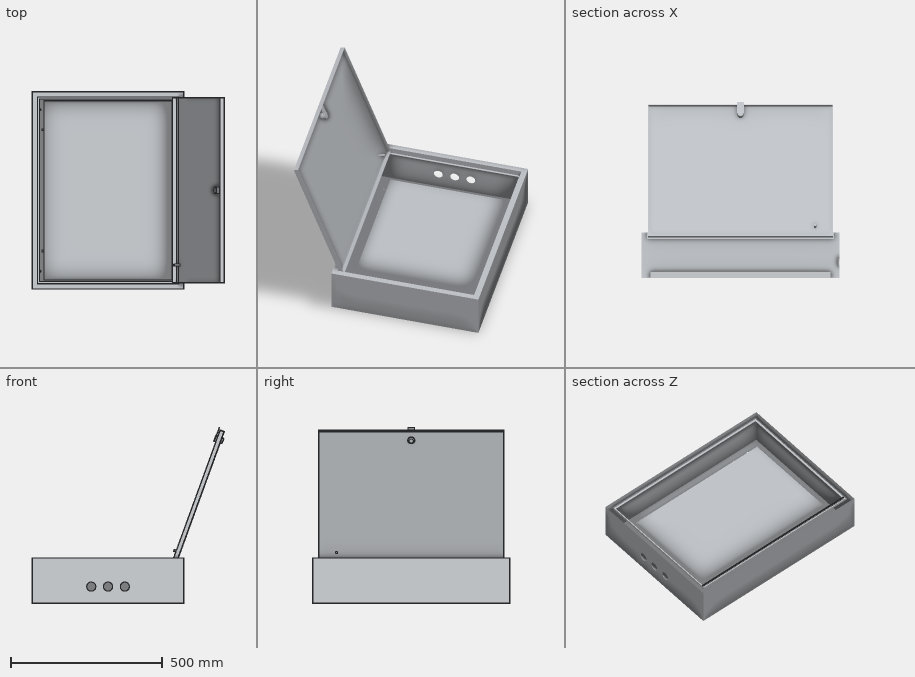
import cadquery as cq
import math

sheet = 1.0

box_x = 500.0
box_y = 650.0
box_z = 150.0
rim_width = 18.0
gutter_depth = 19.5
ledge_width = 6.5

cable_hole_d = 30.0
cable_hole_pitch = 55.0
cable_hole_z = 55.0

mount_hole_d = 6.0
mount_hole_x = box_x / 2 - 25.5
mount_hole_y = box_y / 2 - 59.0

plate_x = 422.5
plate_y = 591.5
plate_z = 19.0

pin_d = 6.0
pin_reach = 6.5
pin_y = box_y / 2 - 125.5
pin_z = sheet + plate_z / 2

door_length = 460.0
door_width = 610.0
door_depth = 15.0
door_sheet = 1.5
door_lean = 20.0
door_foot_x = 225.5
door_foot_z = 133.0

lock_along = door_length - 31.0
barrel_d = 21.5
barrel_top = 22.0
knob_d = 23.5
knob_face_d = 14.0
knob_height = 6.5
cam_bottom = 19.5
cam_thickness = 1.0
cam_overhang = 7.0

stud_d = 7.0
stud_top = 22.0
stud_along = 36.0
stud_y = -246.0

lean = math.radians(door_lean)
door_plane = cq.Plane(
    origin=(door_foot_x, 0, door_foot_z),
    xDir=(math.sin(lean), 0, math.cos(lean)),
    normal=(-math.cos(lean), 0, math.sin(lean)),
)


def block(size_x, size_y, z_low, z_high):
    """A block centred on the Z axis between two heights."""
    return cq.Workplane("XY").workplane(offset=z_low).rect(size_x, size_y).extrude(z_high - z_low)


def inset_block(inset, z_low, z_high):
    """A block whose sides lie a given distance inside the box outline."""
    return block(box_x - 2 * inset, box_y - 2 * inset, z_low, z_high)


def make_box():
    ledge_z = box_z - gutter_depth
    gutter_inset = rim_width - sheet
    opening_inset = rim_width + ledge_width
    shell = inset_block(0, 0, box_z).cut(inset_block(sheet, sheet, box_z))
    rim = inset_block(0, box_z - sheet, box_z)
    gutter = inset_block(gutter_inset, ledge_z - sheet, box_z)
    body = shell.union(rim).union(gutter)
    body = body.cut(inset_block(rim_width, ledge_z, box_z))
    body = body.cut(inset_block(opening_inset, ledge_z - sheet, ledge_z))

    cable_holes = (
        cq.Workplane("XZ", origin=(0, -box_y / 2, cable_hole_z))
        .rarray(cable_hole_pitch, 6.5, 3, 1)
        .circle(cable_hole_d / 2)
        .extrude(-sheet)
    )
    mount_holes = (
        cq.Workplane("XY")
        .rect(2 * mount_hole_x, 2 * mount_hole_y, forConstruction=True)
        .vertices()
        .circle(mount_hole_d / 2)
        .extrude(sheet)
    )
    return body.cut(cable_holes).cut(mount_holes)


def make_pin(side, y):
    """A pin through the plate side that faces +X (side = 1) or -X (side = -1)."""
    inner_face = side * (plate_x / 2 - sheet)
    return (
        cq.Workplane("YZ", origin=(inner_face, y, pin_z))
        .circle(pin_d / 2)
        .extrude(side * (sheet + pin_reach))
    )


def make_plate(pins):
    top = sheet + plate_z
    body = block(plate_x, plate_y, sheet, top)
    body = body.cut(block(plate_x - 2 * sheet, plate_y - 2 * sheet, sheet, top - sheet))
    for pin in pins:
        body = body.cut(pin)
    return body


def door_block(along_low, along_high, width, low, high):
    """A block in the door frame, centred across the door."""
    return (
        cq.Workplane(door_plane)
        .workplane(offset=low)
        .center((along_low + along_high) / 2, 0)
        .rect(along_high - along_low, width)
        .extrude(high - low)
    )


def door_cylinder(along, y, diameter, low, high):
    """A cylinder square to the door."""
    return (
        cq.Workplane(door_plane)
        .workplane(offset=low)
        .center(along, y)
        .circle(diameter / 2)
        .extrude(high - low)
    )


def make_door():
    inner_width = door_width - 2 * door_sheet
    body = door_block(0, door_length, door_width, 0, door_depth)
    body = body.cut(door_block(door_sheet, door_length - door_sheet, inner_width, door_sheet, door_depth))
    barrel_hole = door_cylinder(lock_along, 0, barrel_d, 0, door_sheet)
    return body.cut(barrel_hole)


def make_lock():
    barrel = door_cylinder(lock_along, 0, barrel_d, 0, barrel_top)
    cam_tip = door_length + cam_overhang
    cam = door_block(lock_along, cam_tip, barrel_d, cam_bottom, cam_bottom + cam_thickness)
    knob = (
        cq.Workplane(door_plane)
        .center(lock_along, 0)
        .circle(knob_d / 2)
        .workplane(offset=-knob_height)
        .circle(knob_face_d / 2)
        .loft(ruled=True)
    )
    return barrel.union(cam).union(knob)


def make_stud():
    return door_cylinder(stud_along, stud_y, stud_d, door_sheet, stud_top)


pins = [make_pin(side, y) for side in (-1, 1) for y in (-pin_y, pin_y)]
box = make_box()
plate = make_plate(pins)
door = make_door()
lock = make_lock()
stud = make_stud()

result = cq.Compound.makeCompound(
    [box.val(), plate.val(), door.val(), lock.val(), stud.val(), *[pin.val() for pin in pins]]
)